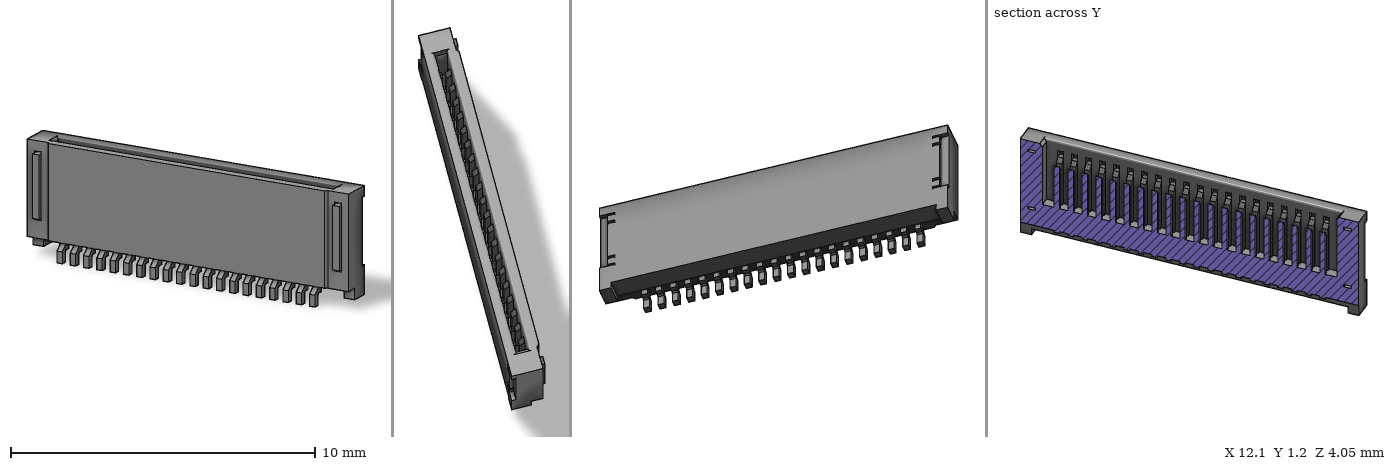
import cadquery as cq


housing_length = 12.1
housing_depth = 1.06
front_height = 3.36
back_height = 3.52
back_depth = 0.67
foot_height = 3.76
foot_width = 0.4

panel_height = 0.08
panel_base_length = 10.53
panel_bevel = 0.07

opening_length = 10.7
opening_back = 0.27
opening_depth = 0.58
lead_in_radius = 0.08
end_bevel_width = 0.1
end_bevel_height = 0.11
socket_height = 2.42
socket_back = -opening_back - lead_in_radius
socket_front = -opening_back - opening_depth + lead_in_radius

contact_count = 20
contact_row_length = 9.5
contact_pitch = contact_row_length / (contact_count - 1)
contact_width = 0.2
groove_top = 0.36
groove_depth = 0.18
arm_top = 0.6
back_arm_slope_height = 0.17
front_arm_slope_height = 0.3
back_arm_depth = 0.11
front_arm_depth = 0.18

tail_back = 0.76
tail_front = 0.95
tail_inner_bend = 0.93
tail_foot_thickness = 0.22
tail_bend_top = 3.44
tail_bend_bottom = 3.64
tail_foot_top = 3.69
tail_tip = 4.05
tail_root = 3.27
overall_depth = 1.2

nail_inset = 0.28
nail_width = 0.25
slot_start = -housing_length / 2 + nail_inset
slot_end = slot_start + nail_width
slot_top = 0.36
slot_bottom = 2.73
nail_clearance = 0.07
nail_notch_height = 0.1
nail_notch_offset = 0.27
side_recess_depth = 0.15


def block(x_start, x_end, y_front, y_back, z_bottom, z_top):
    """Box between two limits along each axis."""
    size = (x_end - x_start, y_back - y_front, z_top - z_bottom)
    return cq.Workplane("XY").box(*size, centered=False).translate((x_start, y_front, z_bottom))


def extrude_along_x(points, width):
    """Solid from a (y, z) outline, centred on X = 0."""
    return cq.Workplane("YZ").polyline(points).close().extrude(width / 2, both=True)


def at_contacts(shape):
    """Copies of a shape, one for each contact position, as one workplane."""
    copies = cq.Workplane("XY")
    for index in range(contact_count):
        x = index * contact_pitch - contact_row_length / 2
        copies = copies.add(shape.translate((x, 0, 0)).val())
    return copies


def both_ends(shape):
    """A shape at the -X end together with its mirror image at the +X end."""
    return cq.Workplane("XY").add(shape.vals()).add(shape.mirror("YZ").vals())


def fuse_all(body, shapes):
    """The body with every shape of a workplane added."""
    for shape in shapes.vals():
        body = body.union(cq.Workplane("XY").add(shape))
    return body


def cut_all(body, shapes):
    """The body with every shape of a workplane removed."""
    for shape in shapes.vals():
        body = body.cut(cq.Workplane("XY").add(shape))
    return body


def make_housing():
    """Plain body with two feet and the raised front panel."""
    half = housing_length / 2
    body = block(-half, half, -housing_depth, 0, -front_height, 0)
    body = body.union(block(-half, half, -back_depth, 0, -back_height, 0))
    foot = block(-half, -half + foot_width, -back_depth, 0, -foot_height, 0)
    body = fuse_all(body, both_ends(foot))

    base = panel_base_length / 2
    face = base - panel_bevel
    panel = (
        cq.Workplane("XY")
        .polyline([
            (-base, -housing_depth),
            (-face, -housing_depth - panel_height),
            (face, -housing_depth - panel_height),
            (base, -housing_depth),
        ])
        .close()
        .extrude(-front_height)
    )
    return body.union(panel)


def make_socket():
    """Cable pocket: the overlap of its cross-section along X and its outline along Y."""
    front_edge = -opening_back - opening_depth
    across = (
        cq.Workplane("YZ")
        .moveTo(-opening_back, 0)
        .radiusArc((socket_back, -lead_in_radius), -lead_in_radius)
        .lineTo(socket_back, -socket_height)
        .lineTo(socket_front, -socket_height)
        .lineTo(socket_front, -lead_in_radius)
        .radiusArc((front_edge, 0), -lead_in_radius)
        .close()
        .extrude(opening_length / 2, both=True)
    )
    rim = opening_length / 2
    end_wall = rim - end_bevel_width
    along = (
        cq.Workplane("XZ")
        .polyline([
            (-rim, 0),
            (-end_wall, -end_bevel_height),
            (-end_wall, -socket_height),
            (end_wall, -socket_height),
            (end_wall, -end_bevel_height),
            (rim, 0),
        ])
        .close()
        .extrude(housing_depth)
    )
    return across.intersect(along)


def make_back_groove():
    """Groove in the back wall of the socket that takes one back arm."""
    half = contact_width / 2
    return block(-half, half, socket_back, socket_back + groove_depth, -socket_height, -groove_top)


def make_back_arm():
    """Arm standing in a back groove, with a sloped tip reaching into the pocket."""
    groove_back = socket_back + groove_depth
    arm_front = socket_back - back_arm_depth
    return extrude_along_x([
        (groove_back, -arm_top),
        (socket_back, -arm_top),
        (arm_front, -arm_top - back_arm_slope_height),
        (arm_front, -socket_height),
        (groove_back, -socket_height),
    ], contact_width)


def make_front_arm():
    """Arm standing against the front wall of the pocket, with a sloped tip."""
    arm_back = socket_front + front_arm_depth
    return extrude_along_x([
        (socket_front, -arm_top),
        (arm_back, -arm_top - front_arm_slope_height),
        (arm_back, -socket_height),
        (socket_front, -socket_height),
    ], contact_width)


def make_tail():
    """Tail that leaves the housing, steps forward and ends in a straight foot."""
    foot_back = overall_depth - tail_foot_thickness
    return extrude_along_x([
        (-back_depth, -tail_root),
        (-tail_front, -tail_root),
        (-tail_front, -tail_bend_top),
        (-overall_depth, -tail_bend_bottom),
        (-overall_depth, -tail_tip),
        (-foot_back, -tail_tip),
        (-foot_back, -tail_foot_top),
        (-tail_inner_bend, -tail_bend_bottom),
        (-tail_back, -tail_bend_bottom),
        (-tail_back, -tail_bend_top),
        (-back_depth, -tail_bend_top),
    ], contact_width)


def make_nail_slot():
    """Slot through the housing end, open to the side in a shallow recess at the back."""
    slot = block(slot_start, slot_end, -housing_depth, 0, -slot_bottom, -slot_top)
    recess = block(-housing_length / 2, slot_end, -side_recess_depth, 0, -slot_bottom, -slot_top)
    return slot.union(recess)


def make_nail():
    """Flat nail that stands out of the front face and is notched twice at the back."""
    nail_top = -slot_top - nail_clearance
    nail_bottom = -slot_bottom + nail_clearance
    nail = block(slot_start, slot_end, -overall_depth, 0, nail_bottom, nail_top)
    upper_notch_top = nail_top - nail_notch_offset
    lower_notch_bottom = nail_bottom + nail_notch_offset
    for notch_bottom in (upper_notch_top - nail_notch_height, lower_notch_bottom):
        notch_top = notch_bottom + nail_notch_height
        nail = nail.cut(block(slot_start, slot_end, -side_recess_depth, 0, notch_bottom, notch_top))
    return nail


result = make_housing().cut(make_socket())
result = cut_all(result, both_ends(make_nail_slot()))
result = cut_all(result, at_contacts(make_back_groove()))
result = fuse_all(result, both_ends(make_nail()))
for contact_part in (make_back_arm(), make_front_arm(), make_tail()):
    result = fuse_all(result, at_contacts(contact_part))